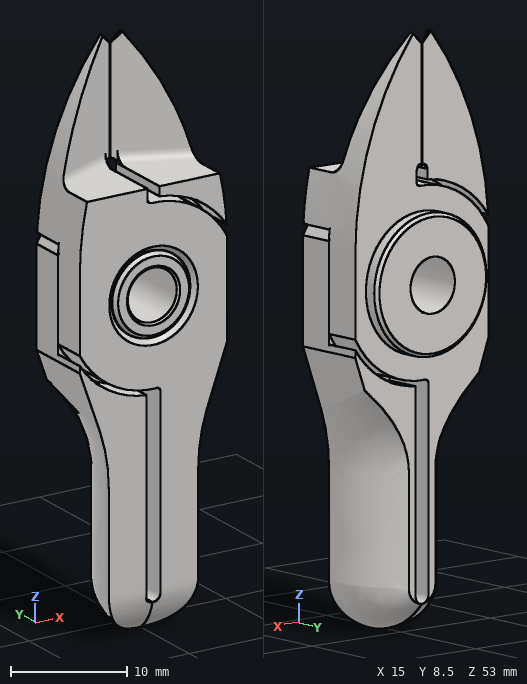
import cadquery as cq
import math


thickness = 7.05
half_thickness = thickness / 2
front_y = -half_thickness
back_y = half_thickness
width = 15.0
half_width = width / 2

jaw_arc_radius = 30.05
jaw_arc_start_z = 3.35
tip_z = 22.0

bevel_angle = 23.7
bevel_bottom_z = 9.9
bevel_fillet = 1.1
jaw_gap = 0.1

jaw_slot_half_width = 1.2 / 2
jaw_slot_top_z = 10.45
handle_slot_half_width = 1.45 / 2
handle_slot_bottom_z = -28.15
slot_start_radius = 5.3
slot_corner_fillet = 0.35

shoulder_z = -5.65
shoulder_slope = 19.6
handle_half_width = 4.55
handle_end_z = -26.6
front_band = 0.45
round_depth = thickness - front_band
handle_back_inset = 3.1
blend_start_front_z = -11.5
blend_start_back_z = -8.65
blend_control_front_z = -14.05
blend_control_back_z = -12.7
blend_end_front_z = -16.75
blend_end_back_z = -16.45
section_count = 5
end_round_start_z = -26.8
end_round_radius = 5.25

lap_radius = 8.55
lap_gap = 0.5
relief_radius = lap_radius + lap_gap

shank_radius = 4.0
bore_radius = 2.5
bore_chamfer = 0.2
shank_chamfer = 0.35
countersink = 0.55
head_radius = 6.3
head_thickness = 1.45
head_chamfer = 0.3

overlap = 0.55


def plane_at(y):
    """XZ workplane at depth y, extruding towards the front (-Y)."""
    return cq.Workplane("XZ", origin=(0, y, 0))


def jaw_arc_x(z):
    """Left edge of the jaw: an arc tangent to the straight side."""
    rise = z - jaw_arc_start_z
    return jaw_arc_radius - half_width - math.sqrt(jaw_arc_radius**2 - rise**2)


def jaw_blank():
    """Left half of the head as a flat plate, from the pivot height up to the jaw tip."""
    tip_left = jaw_arc_x(tip_z)
    mid_z = (jaw_arc_start_z + tip_z) / 2
    return (
        plane_at(back_y)
        .lineTo(-half_width, 0)
        .lineTo(-half_width, jaw_arc_start_z)
        .threePointArc((jaw_arc_x(mid_z), mid_z), (tip_left, tip_z))
        .lineTo(0, tip_z + tip_left)
        .close()
        .extrude(thickness)
    )


def blend(front_value, back_value, t):
    """Value that changes linearly from front (t = 0) to back (t = 1)."""
    return front_value + t * (back_value - front_value)


def handle_section(depth):
    """Outline of the left half, from the pivot height down, at a depth behind the front band."""
    t = depth / round_depth
    side_radius = (handle_back_inset**2 + round_depth**2) / (2 * handle_back_inset)
    inset = side_radius - math.sqrt(side_radius**2 - depth**2)
    side_x = handle_half_width - inset

    start_z = blend(blend_start_front_z, blend_start_back_z, t)
    start_x = (shoulder_z - start_z) * math.tan(math.radians(shoulder_slope)) - half_width
    control_z = blend(blend_control_front_z, blend_control_back_z, t)
    end_z = blend(blend_end_front_z, blend_end_back_z, t)
    diagonal = side_x * math.sqrt(0.5)
    return (
        plane_at(front_y + front_band + depth)
        .lineTo(-half_width, 0)
        .lineTo(-half_width, shoulder_z)
        .lineTo(start_x, start_z)
        .bezier([(-side_x, control_z), (-side_x, end_z)], includeCurrent=True)
        .lineTo(-side_x, handle_end_z)
        .threePointArc((-diagonal, handle_end_z - diagonal), (0, handle_end_z - side_x))
        .close()
    )


def handle_end_cutter():
    """Everything outside the rounding that carries the front face into the handle end."""
    deep_z = end_round_start_z - 2 * end_round_radius
    block = cq.Workplane("XY").box(
        width, end_round_radius + overlap, end_round_start_z - deep_z, centered=(True, False, False)
    ).translate((0, front_y - overlap, deep_z))
    roller = (
        cq.Workplane("YZ", origin=(-half_width, 0, 0))
        .center(front_y + end_round_radius, end_round_start_z)
        .circle(end_round_radius)
        .extrude(width)
    )
    return block.cut(roller)


def slot_cutter(slot_half_width, end_z):
    """Slot from near the pivot to a rounded end at end_z, through the whole thickness."""
    direction = math.copysign(1, end_z)
    round_z = end_z - direction * slot_half_width
    start_z = direction * slot_start_radius
    bar = (
        plane_at(back_y)
        .moveTo(-slot_half_width, start_z)
        .lineTo(-slot_half_width, round_z)
        .threePointArc((0, end_z), (slot_half_width, round_z))
        .lineTo(slot_half_width, start_z)
        .close()
    )
    return bar.extrude(thickness)


def handle_half():
    """Left half handle: narrow flat band at the front, sides curving inwards to the back."""
    sections = [
        handle_section(round_depth * i / (section_count - 1)).val() for i in range(section_count)
    ]
    rounded = cq.Workplane(cq.Solid.makeLoft(sections))
    band = handle_section(0).extrude(front_band)
    handle = rounded.union(band).cut(handle_end_cutter())
    return handle.cut(slot_cutter(handle_slot_half_width, handle_slot_bottom_z))


def bevel_cutter():
    """Space in front of the sloping jaw face, with the cutting edge at the back of x = 0."""
    right_x = overlap
    reach = half_width + overlap
    slope = math.tan(math.radians(bevel_angle))
    return (
        cq.Workplane("XY", origin=(0, 0, bevel_bottom_z))
        .moveTo(right_x, back_y + right_x * slope)
        .lineTo(-reach, back_y - reach * slope)
        .lineTo(-reach, front_y - overlap)
        .lineTo(right_x, front_y - overlap)
        .close()
        .extrude(tip_z + overlap - bevel_bottom_z)
    )


def jaw_half():
    """Left half head with its bevelled jaw and the slot beside it."""
    sharp_bevel = bevel_cutter()
    bevel = sharp_bevel.faces("<Z").edges(">Y").fillet(bevel_fillet)
    slot_strip = cq.Workplane("XY").box(
        2 * jaw_slot_half_width, 2 * thickness, tip_z, centered=(True, True, False)
    )
    slot_clearance = sharp_bevel.intersect(slot_strip)
    gap = cq.Workplane("XY").box(
        jaw_gap, 2 * thickness, tip_z, centered=(True, True, False)
    ).translate((0, 0, slot_start_radius))
    head = jaw_blank().cut(bevel).cut(slot_clearance).cut(gap)
    return head.cut(slot_cutter(jaw_slot_half_width, jaw_slot_top_z))


def layer_disc(radius, layer_back_y):
    """Disc about the pivot, half the plate thick."""
    return plane_at(layer_back_y).circle(radius).extrude(half_thickness)


def lap_disc(layer_back_y):
    """Lap disc trimmed to the plate sides, leaving the upper left to the jaw outline."""
    joint_x = -2 * jaw_slot_half_width
    trim = (
        plane_at(back_y)
        .moveTo(-half_width, 0)
        .lineTo(-half_width, -lap_radius)
        .lineTo(half_width, -lap_radius)
        .lineTo(half_width, lap_radius)
        .lineTo(joint_x, lap_radius)
        .lineTo(joint_x, 0)
        .close()
        .extrude(thickness)
    )
    return layer_disc(lap_radius, layer_back_y).intersect(trim)


def lever(jaw_left, lap_back_y, relief_back_y):
    """One lever: a jaw, the lap disc, and the handle on the opposite side."""
    jaw = jaw_half()
    handle = handle_half()
    lap = lap_disc(lap_back_y)
    if jaw_left:
        handle = handle.mirror("YZ")
    else:
        jaw = jaw.mirror("YZ")
        lap = lap.mirror("YZ")

    arms = jaw.union(handle).cut(layer_disc(relief_radius, relief_back_y))
    body = arms.union(lap)

    jaw_sign = -1 if jaw_left else 1
    lap_mid_y = lap_back_y - half_thickness / 2
    slot_corners = (
        (jaw_sign * jaw_slot_half_width, 1),
        (-jaw_sign * handle_slot_half_width, -1),
    )
    for corner_x, z_sign in slot_corners:
        corner_z = z_sign * math.sqrt(lap_radius**2 - corner_x**2)
        corner = cq.selectors.NearestToPointSelector((corner_x, lap_mid_y, corner_z))
        body = body.edges("|Y").edges(corner).fillet(slot_corner_fillet)
    return body.cut(plane_at(back_y).circle(shank_radius).extrude(thickness))


def front_lever():
    """Left jaw and right handle, lapped in the front layer, with a countersunk pin hole."""
    body = lever(True, 0, back_y)
    cone = cq.Solid.makeCone(
        shank_radius + countersink, shank_radius, countersink,
        pnt=cq.Vector(0, front_y, 0), dir=cq.Vector(0, 1, 0),
    )
    return body.cut(cq.Workplane(cone))


def back_lever():
    """Right jaw and left handle, lapped in the back layer."""
    return lever(False, back_y, 0)


def pivot_pin():
    """Hollow pin, flush with the front face and headed at the back."""
    head = plane_at(back_y + head_thickness).circle(head_radius).extrude(head_thickness)
    head = head.faces(">Y").edges().chamfer(head_chamfer)
    shank = plane_at(back_y).circle(shank_radius).extrude(thickness)
    shank = shank.faces("<Y").edges().chamfer(shank_chamfer)
    bore = plane_at(back_y + head_thickness).circle(bore_radius).extrude(thickness + head_thickness)
    pin = head.union(shank).cut(bore)
    bore_rim = cq.selectors.RadiusNthSelector(0)
    return pin.faces("<Y").edges(bore_rim).chamfer(bore_chamfer)


left_jaw_lever = front_lever()
right_jaw_lever = back_lever()
pin = pivot_pin()

result = cq.Compound.makeCompound([left_jaw_lever.val(), right_jaw_lever.val(), pin.val()])